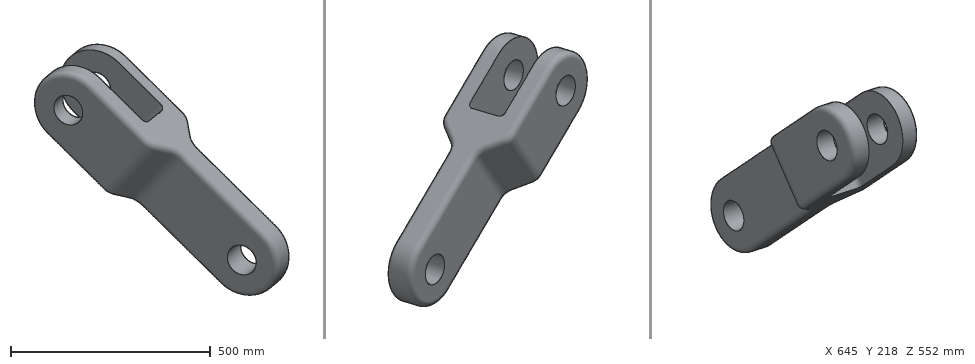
import cadquery as cq
import math

end_radius = 99.0
hole_diameter = 79.0
overall_length = 645.0
overall_height = 552.0
eye_run = overall_length - 2 * end_radius
eye_drop = overall_height - 2 * end_radius
eye_spacing = math.hypot(eye_run, eye_drop)
tilt_angle = math.degrees(math.atan2(eye_drop, eye_run))

fork_width = 218.0
tongue_width = 79.0
slot_width = 110.0

slot_floor = 162.5
shoulder_start = 216.5
shoulder_end = 274.5

shoulder_radius = 40.0
edge_radius = 16.0
slot_corner_radius = 15.5


def make_body():
    """Fork-to-tongue width profile trimmed to a round-ended link outline."""
    fork_tip = -end_radius
    tongue_tip = eye_spacing + end_radius
    half_fork = fork_width / 2
    half_tongue = tongue_width / 2
    profile = (
        cq.Workplane("XY", origin=(0, 0, -end_radius))
        .polyline([
            (fork_tip, -half_fork),
            (shoulder_start, -half_fork),
            (shoulder_end, -half_tongue),
            (tongue_tip, -half_tongue),
            (tongue_tip, half_tongue),
            (shoulder_end, half_tongue),
            (shoulder_start, half_fork),
            (fork_tip, half_fork),
        ])
        .close()
        .extrude(2 * end_radius)
    )
    shoulder_box = cq.selectors.BoxSelector(
        (0, -fork_width, -end_radius),
        (eye_spacing, fork_width, end_radius),
    )
    profile = profile.edges("|Z").edges(shoulder_box).fillet(shoulder_radius)
    outline = (
        cq.Workplane("XZ", origin=(0, fork_width / 2, 0))
        .center(eye_spacing / 2, 0)
        .slot2D(eye_spacing + 2 * end_radius, 2 * end_radius)
        .extrude(fork_width)
    )
    return profile.intersect(outline).edges("|X").fillet(edge_radius)


def make_fork_slot():
    """Slot open at the fork end, with rounded corners at its floor."""
    slot_length = slot_floor + 2 * end_radius
    return (
        cq.Workplane("XY")
        .box(slot_length, slot_width, 4 * end_radius)
        .translate((slot_floor - slot_length / 2, 0, 0))
        .edges("|Z and >X")
        .fillet(slot_corner_radius)
    )


def make_eye_holes():
    """Through holes at both eyes."""
    return (
        cq.Workplane("XZ", origin=(0, fork_width / 2, 0))
        .pushPoints([(0, 0), (eye_spacing, 0)])
        .circle(hole_diameter / 2)
        .extrude(fork_width)
    )


link = make_body().cut(make_fork_slot()).cut(make_eye_holes())

result = link.translate((-eye_spacing / 2, 0, 0)).rotate((0, 0, 0), (0, 1, 0), tilt_angle)